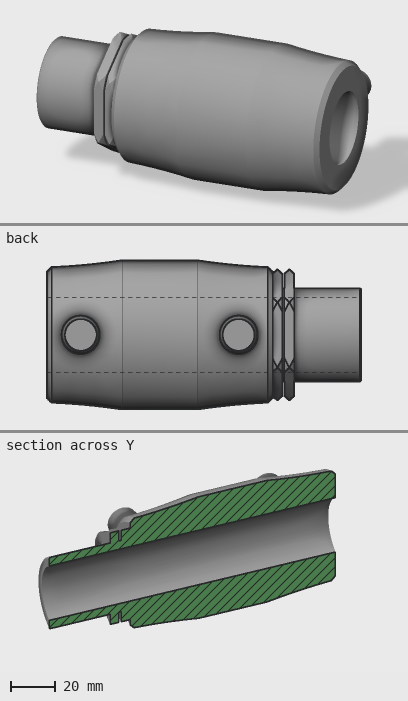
import cadquery as cq
import math

total_length = 141.0
body_length = 101.2
body_start = total_length - body_length
body_middle = body_start + body_length / 2

body_radius = 67.0 / 2
band_length = body_length / 3
body_end_radius = 30.5
body_chamfer = 2.1
flare_sag = 0.4

spigot_radius = 41.9 / 2
spigot_chamfer = 0.5
bore_radius = 33.5 / 2

nut_width = 50.9
nut_corner_diameter = nut_width / math.cos(math.pi / 6)
nut_face_radius = 27.5
nut_thickness = 4.4
nut_gap = 1.0
nut_starts = [
    body_start - nut_thickness,
    body_start - 2 * nut_thickness - nut_gap,
]

terminal_spacing = 70.8
terminal_tip_y = 84.5 - body_radius
terminal_tip_diameter = 14.2
terminal_base_diameter = 17.3
terminal_height = 20.3


def make_body():
    """Revolve the barrel, with a concave flare on each side of the middle band."""
    left = body_start
    right = total_length
    band_left = body_middle - band_length / 2
    band_right = body_middle + band_length / 2
    flare_left = left + body_chamfer
    flare_right = right - body_chamfer
    face_radius = body_end_radius - body_chamfer
    flare_mid_radius = (body_end_radius + body_radius) / 2 - flare_sag
    return (
        cq.Workplane("XY")
        .moveTo(left, 0)
        .lineTo(left, face_radius)
        .lineTo(flare_left, body_end_radius)
        .threePointArc(((flare_left + band_left) / 2, flare_mid_radius), (band_left, body_radius))
        .lineTo(band_right, body_radius)
        .threePointArc(((flare_right + band_right) / 2, flare_mid_radius), (flare_right, body_end_radius))
        .lineTo(right, face_radius)
        .lineTo(right, 0)
        .close()
        .revolve(360, (0, 0, 0), (1, 0, 0))
    )


def make_spigot():
    """Plain pipe end that runs from the free tip into the body."""
    pipe = cq.Workplane("YZ").circle(spigot_radius).extrude(body_middle)
    return pipe.faces("<X").chamfer(spigot_chamfer)


def make_nut(start):
    """Hexagon with corners up and down, both faces chamfered to its mid-plane."""
    middle = start + nut_thickness / 2
    end = start + nut_thickness
    hexagon = (
        cq.Workplane("YZ", origin=(start, 0, 0))
        .polygon(6, nut_corner_diameter)
        .extrude(nut_thickness)
        .rotate((0, 0, 0), (1, 0, 0), 90)
    )
    double_cone = (
        cq.Workplane("XY")
        .moveTo(start, 0)
        .lineTo(start, nut_face_radius)
        .lineTo(middle, nut_corner_diameter / 2)
        .lineTo(end, nut_face_radius)
        .lineTo(end, 0)
        .close()
        .revolve(360, (0, 0, 0), (1, 0, 0))
    )
    return hexagon.intersect(double_cone)


def make_terminal(x):
    """Cone frustum pointing along +Y, with its taper continued down to the bore."""
    slope = (terminal_base_diameter - terminal_tip_diameter) / 2 / terminal_height
    depth = terminal_tip_y - bore_radius
    tip_radius = terminal_tip_diameter / 2
    root_radius = tip_radius + slope * depth
    return cq.Workplane(
        cq.Solid.makeCone(
            tip_radius, root_radius, depth, pnt=cq.Vector(x, terminal_tip_y, 0), dir=cq.Vector(0, -1, 0)
        )
    )


result = make_body().union(make_spigot())
for nut_start in nut_starts:
    result = result.union(make_nut(nut_start))
for side in (-1, 1):
    result = result.union(make_terminal(body_middle + side * terminal_spacing / 2))

bore = cq.Workplane("YZ").circle(bore_radius).extrude(total_length)
result = result.cut(bore)